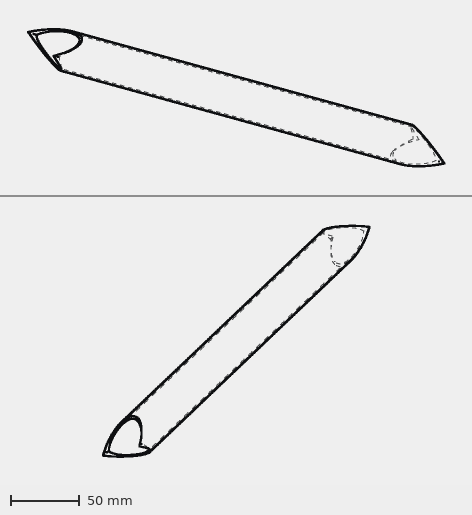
import cadquery as cq
import math

span = 360.0
outer_diameter = 30.0
wall = 1.5

outer_radius = outer_diameter / 2
inner_radius = outer_radius - wall
half_span = span / 2
overrun = 2 * outer_diameter


def centered_rod(radius, length, direction, center=(0, 0, 0)):
    """Solid cylinder with its middle at the given center."""
    axis = cq.Vector(*direction).normalized()
    start = cq.Vector(*center) - axis * (length / 2)
    return cq.Workplane(cq.Solid.makeCylinder(radius, length, start, axis))


diagonal = (0, -1, 1)
tube_length = span * math.sqrt(2) + overrun
result = centered_rod(outer_radius, tube_length, diagonal)
result = result.cut(centered_rod(inner_radius, tube_length, diagonal))

cope_length = span
for end in (-1, 1):
    corner = (0, -end * half_span, end * half_span)
    for cope_direction in ((0, 1, 0), (0, 0, 1)):
        result = result.cut(centered_rod(outer_radius, cope_length, cope_direction, corner))

envelope = cq.Workplane("XY").box(2 * outer_diameter, span, span)
result = result.intersect(envelope)